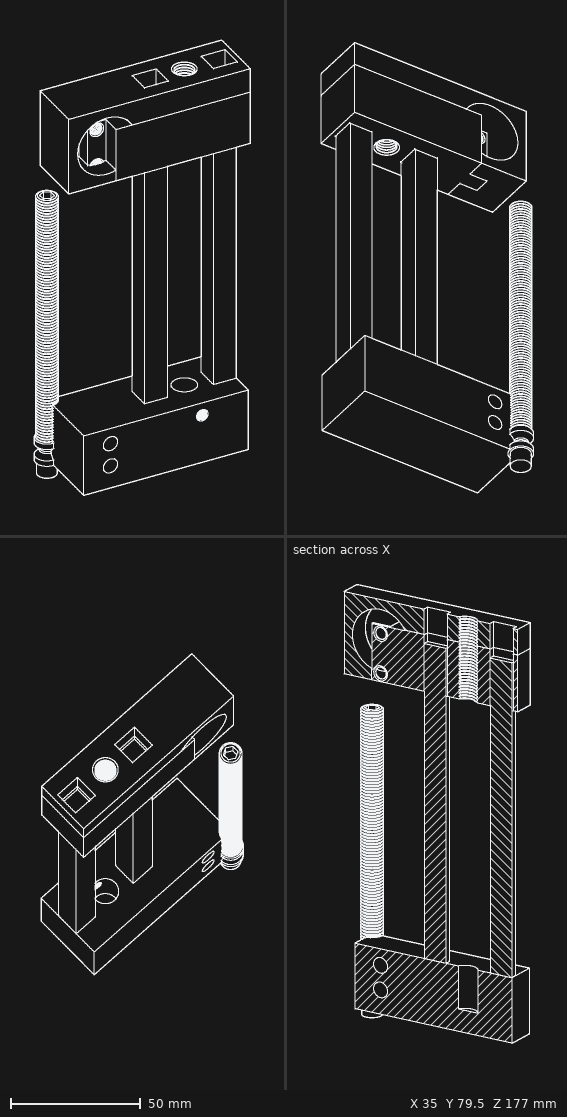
import cadquery as cq


BASE_X = 30.1
BASE_Y = 71.9
BASE_Z = 27.0
BASE_SHIFT_X = -0.2
BASE_SETBACK = 2.5
CLAMP_HOLE_DIA = 6.2
CLAMP_HOLE_HEIGHTS = (10.1, 20.2)
BORE_DIA = 10.3
BORE_DEPTH = 17.7
GRUB_HOLE_DROP = 5.7

HEAD_X = 23.7
HEAD_Y = 79.3
HEAD_Z = 34.0
TOTAL_Z = 177.0
WINDOW_DIA = 25.5
WINDOW_Y = -23.0

JAW_DROP = 10.6
TONGUE_X = 7.0
TONGUE_Y = 8.0
TONGUE_HOLE_MARGIN = 3.5

ROD_SIDE = 10.1
ROD_CLEARANCE = 0.4
ROD_PITCH = 30.1
ROD_TOP_DROP = 14.2

SPINDLE_THREAD = (7.5, 8.8, 88)
HEAD_THREAD = (8.1, 10.0, 27)
TONGUE_THREAD = (4.8, 6.0, 7)
GRUB_THREAD = (4.0, 5.0, 18)
THREAD_FLAT = 0.2

COLLAR_DIA = 10.0
STUB_DIA = 8.1
NECK_DIA = 6.0
STUB_LENGTH = 6.0
COLLAR_LENGTH = 2.5
NECK_LENGTH = 0.9
CONE_LENGTH = 2.1
SPINDLE_LENGTH = 126.2
SPINDLE_X = -15.2
SPINDLE_Y = -34.9
SOCKET_FLATS = 5.0
SOCKET_DEPTH = 5.3

SPINDLE_BOTTOM = -6.2
HEAD_TOP = TOTAL_Z + SPINDLE_BOTTOM
HEAD_BOTTOM = HEAD_TOP - HEAD_Z
JAW_Z = HEAD_Z - JAW_DROP
BASE_BACK = HEAD_Y / 2 - BASE_SETBACK
BASE_CENTER_Y = BASE_BACK - BASE_Y / 2
REAR_ROD_Y = BASE_BACK - ROD_SIDE / 2
ROD_YS = (REAR_ROD_Y, REAR_ROD_Y - ROD_PITCH)
BORE_Y = REAR_ROD_Y - ROD_PITCH / 2


def box(x, y, z, bottom_center):
    return cq.Workplane("XY").box(x, y, z, centered=(True, True, False)).translate(bottom_center)


def thread_points(end_dia, middle_dia, turns, bottom, top):
    """Radius and height of a ring thread; each turn has one diameter at its ends, the other between."""
    pitch = (top - bottom) / turns
    half_flat = THREAD_FLAT * pitch / 2
    points = [(end_dia / 2, bottom)]
    for turn in range(turns):
        turn_bottom = bottom + turn * pitch
        turn_middle = turn_bottom + pitch / 2
        turn_top = turn_bottom + pitch
        points.append((end_dia / 2, turn_bottom + half_flat))
        points.append((middle_dia / 2, turn_middle - half_flat))
        points.append((middle_dia / 2, turn_middle + half_flat))
        points.append((end_dia / 2, turn_top - half_flat))
    points.append((end_dia / 2, top))
    return points


def revolved(points):
    """Solid of revolution about Z from an outline whose first and last points lie on the axis."""
    return cq.Workplane("XZ").polyline(points).close().revolve(360, (0, 0, 0), (0, 1, 0))


def threaded_hole(minor_dia, major_dia, turns, depth):
    """Cutter along Z for a threaded hole whose mouths open at the major diameter."""
    return revolved([(0, 0), *thread_points(major_dia, minor_dia, turns, 0, depth), (0, depth)])


def along_x(shape):
    """Turns a shape built along Z so that it points along X."""
    return shape.rotate((0, 0, 0), (0, 1, 0), 90)


def make_base():
    base = box(BASE_X, BASE_Y, BASE_Z, (BASE_SHIFT_X, BASE_CENTER_Y, 0))
    for height in CLAMP_HOLE_HEIGHTS:
        hole = cq.Workplane("YZ").center(WINDOW_Y, height).circle(CLAMP_HOLE_DIA / 2)
        base = base.cut(hole.extrude(BASE_X, both=True))
    bore = cq.Workplane("XY").circle(BORE_DIA / 2).extrude(BORE_DEPTH)
    base = base.cut(bore.translate((0, BORE_Y, BASE_Z - BORE_DEPTH)))
    grub_hole = along_x(threaded_hole(*GRUB_THREAD, BASE_X / 2 + BASE_SHIFT_X))
    return base.cut(grub_hole.translate((0, BORE_Y, BASE_Z - GRUB_HOLE_DROP)))


def cut_guides(body):
    """Square rod openings with clearance behind each rod, and the threaded spindle hole."""
    opening_y = ROD_SIDE + ROD_CLEARANCE
    for rod_y in ROD_YS:
        body = body.cut(box(ROD_SIDE, opening_y, HEAD_Z, (0, rod_y + ROD_CLEARANCE / 2, HEAD_BOTTOM)))
    spindle_hole = threaded_hole(*HEAD_THREAD, HEAD_Z)
    return body.cut(spindle_hole.translate((0, BORE_Y, HEAD_BOTTOM)))


def jaw_block():
    """Full-width block flush with the head, with a tongue at mid-thickness on its front."""
    front = WINDOW_Y + TONGUE_Y / 2
    length = HEAD_Y / 2 - front
    block = box(HEAD_X, length, JAW_Z, (0, front + length / 2, HEAD_BOTTOM))
    tongue = box(TONGUE_X, TONGUE_Y, JAW_Z, (0, WINDOW_Y, HEAD_BOTTOM))
    return block.union(tongue)


def make_head():
    head = box(HEAD_X, HEAD_Y, HEAD_Z, (0, 0, HEAD_BOTTOM))
    window = cq.Workplane("YZ").center(WINDOW_Y, HEAD_BOTTOM + HEAD_Z / 2).circle(WINDOW_DIA / 2)
    head = head.cut(window.extrude(HEAD_X, both=True))
    head = head.cut(jaw_block())
    return cut_guides(head)


def make_jaw():
    jaw = jaw_block()
    for height in (TONGUE_HOLE_MARGIN, JAW_Z - TONGUE_HOLE_MARGIN):
        hole = along_x(threaded_hole(*TONGUE_THREAD, TONGUE_X))
        jaw = jaw.cut(hole.translate((-TONGUE_X / 2, WINDOW_Y, HEAD_BOTTOM + height)))
    return cut_guides(jaw)


def make_rod(rod_y):
    length = HEAD_TOP - ROD_TOP_DROP - BASE_Z
    return box(ROD_SIDE, ROD_SIDE, length, (0, rod_y, BASE_Z))


def make_spindle():
    collar = COLLAR_DIA / 2
    neck = NECK_DIA / 2
    stub = STUB_DIA / 2
    minor_dia, major_dia, turns = SPINDLE_THREAD
    lower_collar_top = STUB_LENGTH + COLLAR_LENGTH
    neck_bottom = lower_collar_top + CONE_LENGTH
    neck_top = neck_bottom + NECK_LENGTH
    upper_collar_bottom = neck_top + CONE_LENGTH
    thread_bottom = upper_collar_bottom + COLLAR_LENGTH
    spindle = revolved(
        [
            (0, 0),
            (stub, 0),
            (stub, STUB_LENGTH),
            (collar, STUB_LENGTH),
            (collar, lower_collar_top),
            (neck, neck_bottom),
            (neck, neck_top),
            (collar, upper_collar_bottom),
            (collar, thread_bottom),
            *thread_points(minor_dia, major_dia, turns, thread_bottom, SPINDLE_LENGTH),
            (0, SPINDLE_LENGTH),
        ]
    )
    socket = cq.Workplane("XY").polygon(6, SOCKET_FLATS, circumscribed=True)
    socket = socket.extrude(SOCKET_DEPTH).rotate((0, 0, 0), (0, 0, 1), 30)
    spindle = spindle.cut(socket.translate((0, 0, SPINDLE_LENGTH - SOCKET_DEPTH)))
    return spindle.translate((SPINDLE_X, SPINDLE_Y, SPINDLE_BOTTOM))


spindle = make_spindle()
base = make_base().cut(spindle)
head = make_head()
jaw = make_jaw()
rods = [make_rod(rod_y) for rod_y in ROD_YS]

result = cq.Compound.makeCompound(
    [base.val(), head.val(), jaw.val(), *[rod.val() for rod in rods], spindle.val()]
)